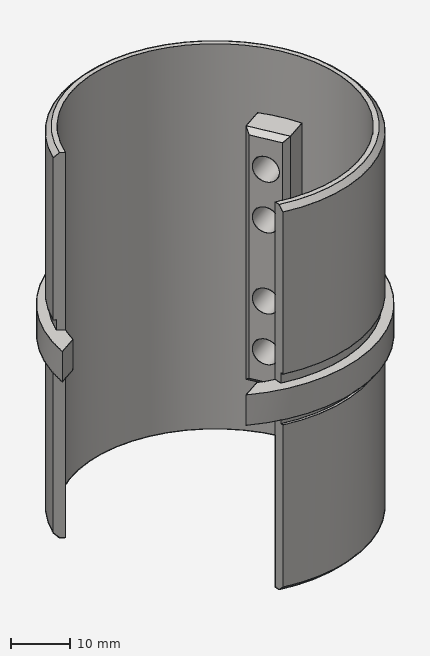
import cadquery as cq
import math

sleeve_length = 76.0
sleeve_outer_radius = 28.65
wall_thickness = 2.0
sleeve_inner_radius = sleeve_outer_radius - wall_thickness
free_edge_inner_x = 19.4
free_edge_slope = 27.0
end_chamfer = 1.0

collar_radius = 30.15
collar_width = 6.0
collar_half_opening = 17.0
groove_radius = 28.15
groove_span = 10.0

block_width = 8.2
block_length = 50.0
block_height = 6.0
block_face_y = sleeve_inner_radius - block_height
block_chamfer = 1.0
hole_diameter = 5.0
hole_heights = (-18.0, -8.0, 8.0, 18.0)

cutter_reach = 2 * collar_radius


def ring(outer_radius, inner_radius, length):
    """Ring around the Z axis, centred on the origin."""
    return (
        cq.Workplane("XY")
        .circle(outer_radius)
        .circle(inner_radius)
        .extrude(length / 2, both=True)
    )


def make_sleeve_opening():
    """Wedge below the two free edges, narrowing to a point above the gap."""
    inner_y = -math.sqrt(sleeve_inner_radius**2 - free_edge_inner_x**2)
    slope = math.tan(math.radians(free_edge_slope))
    apex_y = inner_y + free_edge_inner_x * slope
    outer_y = apex_y - cutter_reach * slope
    return (
        cq.Workplane("XY")
        .polyline(
            [
                (0, apex_y),
                (cutter_reach, outer_y),
                (cutter_reach, -cutter_reach),
                (-cutter_reach, -cutter_reach),
                (-cutter_reach, outer_y),
            ]
        )
        .close()
        .extrude(sleeve_length, both=True)
    )


def make_sleeve():
    sleeve = (
        cq.Workplane("XY")
        .circle(sleeve_outer_radius)
        .extrude(sleeve_length / 2, both=True)
        .faces("<Z or >Z")
        .chamfer(end_chamfer)
    )
    bore = cq.Workplane("XY").circle(sleeve_inner_radius).extrude(sleeve_length, both=True)
    groove = ring(collar_radius, groove_radius, groove_span)
    return sleeve.cut(bore).cut(groove).cut(make_sleeve_opening())


def make_collar():
    opening = (
        cq.Workplane("XY")
        .center(0, -cutter_reach / 2)
        .rect(2 * collar_half_opening, cutter_reach)
        .extrude(collar_width, both=True)
    )
    return ring(collar_radius, sleeve_inner_radius, collar_width).cut(opening)


def make_block():
    """Bar rooted in the wall, chamfered around its free face."""
    embedded_y = (sleeve_inner_radius + groove_radius) / 2
    return (
        cq.Workplane("XZ", origin=(0, embedded_y, 0))
        .rect(block_width, block_length)
        .extrude(embedded_y - block_face_y)
        .faces("<Y")
        .chamfer(block_chamfer)
    )


def make_holes():
    return (
        cq.Workplane("XZ")
        .pushPoints([(0, height) for height in hole_heights])
        .circle(hole_diameter / 2)
        .extrude(-cutter_reach)
    )


result = make_sleeve().union(make_collar()).union(make_block()).cut(make_holes())